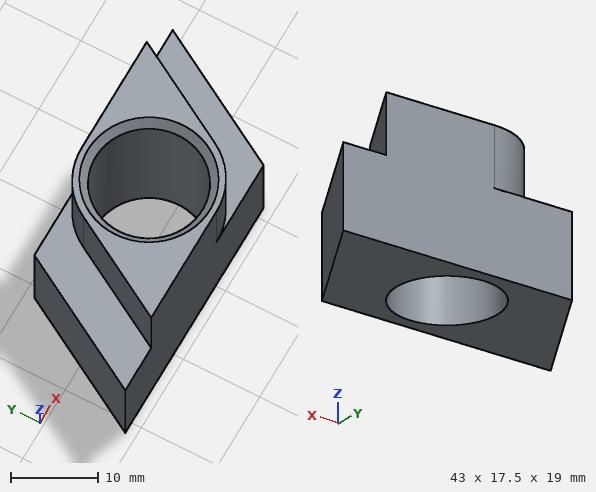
import cadquery as cq
import math

length = 43.0
width = 17.5
height = 19.0
base_height = 11.1
neck_length = 30.65
end_angle = 60.0
bore_diameter = 14.0
bore_chamfer = 1.0

neck_height = height - base_height
neck_corner_radius = width / 2
end_offset = width / math.tan(math.radians(end_angle))


def parallelogram_prism(overall_length, bottom, prism_height):
    """Prism centred on Z, with ends leaning towards +X as Y increases."""
    half_length = overall_length / 2
    half_width = width / 2
    return (
        cq.Workplane("XY")
        .workplane(offset=bottom)
        .polyline([
            (-half_length, -half_width),
            (half_length - end_offset, -half_width),
            (half_length, half_width),
            (-half_length + end_offset, half_width),
        ])
        .close()
        .extrude(prism_height)
    )


base = parallelogram_prism(length, 0, base_height)

neck = parallelogram_prism(neck_length, base_height, neck_height)
obtuse_corner_x = neck_length / 2 - end_offset
for side in (-1, 1):
    corner = (-side * obtuse_corner_x, side * width / 2, base_height + neck_height / 2)
    neck = neck.edges(cq.selectors.NearestToPointSelector(corner)).fillet(neck_corner_radius)

body = base.union(neck)
result = (
    body.faces(">Z")
    .workplane(origin=(0, 0, height))
    .hole(bore_diameter)
    .faces(">Z")
    .edges("%CIRCLE")
    .edges(cq.selectors.RadiusNthSelector(0))
    .chamfer(bore_chamfer)
)